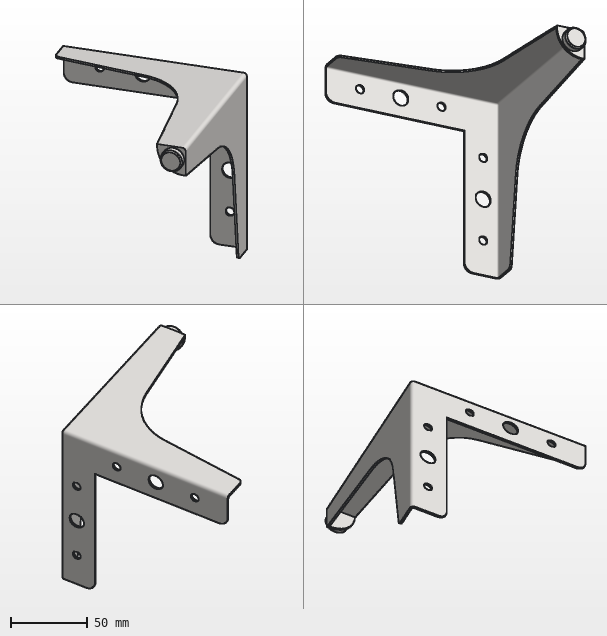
import cadquery as cq
import math

LEG_LENGTH = 128.0
ARM_LENGTH = 124.8
OVERALL_DEPTH = 130.0
THICKNESS = 1.4
BEND_RADIUS = 2.7
INNER_BEND_RADIUS = BEND_RADIUS - THICKNESS

LEG_TIP_WIDTH = 18.7
ARM_TIP_WIDTH = 20.2
TAPER_ANGLE = 7.5
GUSSET_RADIUS = 40.0
LEG_TIP_RADIUS = 3.0

BACK_WIDTH = 26.0
BACK_TIP_RADIUS = 6.5
HOLE_EDGE_DISTANCE = 12.2
MIDDLE_HOLE_DISTANCE = 72.9
HOLE_SPACING = 30.0
LARGE_HOLE_DIAMETER = 11.0
SMALL_HOLE_DIAMETER = 6.0

END_PLATE_RADIUS = 18.8
FOOT_DIAMETER = 15.2
FOOT_EDGE_DISTANCE = 8.7
FOOT_CHAMFER = 1.0
FOOT_LENGTH = OVERALL_DEPTH - ARM_LENGTH

CLEARANCE = 6.5

TOP_PLANE = cq.Plane(origin=(0, 0, 0), xDir=(-1, 0, 0), normal=(0, 0, 1))
SIDE_PLANE = cq.Plane(origin=(-THICKNESS, 0, 0), xDir=(0, 0, -1), normal=(-1, 0, 0))


def make_shell():
    """Three walls joined by rounded bends, and a flat end wall across the arm."""
    outer = (
        cq.Workplane("XY")
        .box(LEG_LENGTH, ARM_LENGTH, LEG_LENGTH, centered=False)
        .translate((-LEG_LENGTH, -ARM_LENGTH, -LEG_LENGTH))
        .edges("(>X and >Y) or (>X and >Z) or (>Y and >Z)")
        .fillet(BEND_RADIUS)
    )
    inner = (
        cq.Workplane("XY")
        .box(LEG_LENGTH, ARM_LENGTH - 2 * THICKNESS, LEG_LENGTH, centered=False)
        .translate((-LEG_LENGTH - THICKNESS, THICKNESS - ARM_LENGTH, -LEG_LENGTH - THICKNESS))
        .edges("(>X and >Y) or (>X and >Z) or (>Y and >Z)")
        .fillet(INNER_BEND_RADIUS)
    )
    return outer.cut(inner)


def make_taper_cutter(plane):
    """Region outside the tapered outline; local x follows the leg and local y the arm."""
    taper = math.tan(math.radians(TAPER_ANGLE))
    leg_start = LEG_TIP_WIDTH + taper * LEG_LENGTH
    arm_start = ARM_TIP_WIDTH + taper * ARM_LENGTH
    corner_x = (arm_start - taper * leg_start) / (1 - taper**2)
    corner_y = leg_start - taper * corner_x
    far_x = LEG_LENGTH + CLEARANCE
    far_y = ARM_LENGTH + CLEARANCE
    cutter = (
        cq.Workplane(plane)
        .polyline([
            (corner_x, corner_y),
            (LEG_LENGTH, LEG_TIP_WIDTH),
            (LEG_LENGTH, 0),
            (far_x, 0),
            (far_x, far_y),
            (arm_start - taper * far_y, far_y),
        ])
        .close()
        .extrude(-THICKNESS)
    )
    gusset_point = plane.toWorldCoords((corner_x, corner_y, -THICKNESS / 2))
    tip_point = plane.toWorldCoords((LEG_LENGTH, LEG_TIP_WIDTH, -THICKNESS / 2))
    cutter = cutter.edges(cq.NearestToPointSelector(gusset_point)).fillet(GUSSET_RADIUS)
    return cutter.edges(cq.NearestToPointSelector(tip_point)).fillet(LEG_TIP_RADIUS)


def make_back_opening():
    """Square opening that leaves the back plate as an L with rounded leg tips."""
    far = LEG_LENGTH + CLEARANCE
    opening = (
        cq.Workplane("XZ")
        .polyline([
            (-BACK_WIDTH, -BACK_WIDTH),
            (-BACK_WIDTH, -LEG_LENGTH),
            (0, -LEG_LENGTH),
            (0, -far),
            (-far, -far),
            (-far, 0),
            (-LEG_LENGTH, 0),
            (-LEG_LENGTH, -BACK_WIDTH),
        ])
        .close()
        .extrude(THICKNESS)
    )
    for tip in [(-BACK_WIDTH, -LEG_LENGTH), (-LEG_LENGTH, -BACK_WIDTH)]:
        tip_point = (tip[0], -THICKNESS / 2, tip[1])
        opening = opening.edges(cq.NearestToPointSelector(tip_point)).fillet(BACK_TIP_RADIUS)
    return opening


def make_mounting_holes():
    """One large hole between two small ones, on each leg of the back plate."""
    holes = cq.Workplane("XZ")
    for step, diameter in [
        (-1, SMALL_HOLE_DIAMETER),
        (0, LARGE_HOLE_DIAMETER),
        (1, SMALL_HOLE_DIAMETER),
    ]:
        distance = MIDDLE_HOLE_DISTANCE + step * HOLE_SPACING
        centers = [(-distance, -HOLE_EDGE_DISTANCE), (-HOLE_EDGE_DISTANCE, -distance)]
        drills = cq.Workplane("XZ").pushPoints(centers).circle(diameter / 2).extrude(THICKNESS)
        holes = holes.add(drills)
    return holes.combine()


def make_end_plate_cutter():
    """Region of the end wall outside the small rounded end plate."""
    end_plate = (
        cq.Workplane("XZ", origin=(0, -ARM_LENGTH + THICKNESS, 0))
        .rect(2 * ARM_TIP_WIDTH, 2 * ARM_TIP_WIDTH)
        .extrude(THICKNESS)
        .edges("|Y and <X and <Z")
        .fillet(END_PLATE_RADIUS)
    )
    end_wall = (
        cq.Workplane("XZ", origin=(0, -ARM_LENGTH + THICKNESS, 0))
        .rect(2 * LEG_LENGTH, 2 * LEG_LENGTH)
        .extrude(THICKNESS)
    )
    return end_wall.cut(end_plate)


def make_bracket():
    bracket = make_shell()
    bracket = bracket.cut(make_taper_cutter(TOP_PLANE))
    bracket = bracket.cut(make_taper_cutter(SIDE_PLANE))
    bracket = bracket.cut(make_back_opening())
    bracket = bracket.cut(make_mounting_holes())
    return bracket.cut(make_end_plate_cutter())


def make_foot():
    """Round foot standing on the outer face of the end plate."""
    return (
        cq.Workplane("XZ", origin=(-FOOT_EDGE_DISTANCE, -ARM_LENGTH, -FOOT_EDGE_DISTANCE))
        .circle(FOOT_DIAMETER / 2)
        .extrude(FOOT_LENGTH)
        .faces("<Y")
        .chamfer(FOOT_CHAMFER)
    )


bracket = make_bracket()
foot = make_foot()
result = cq.Compound.makeCompound([bracket.val(), foot.val()])